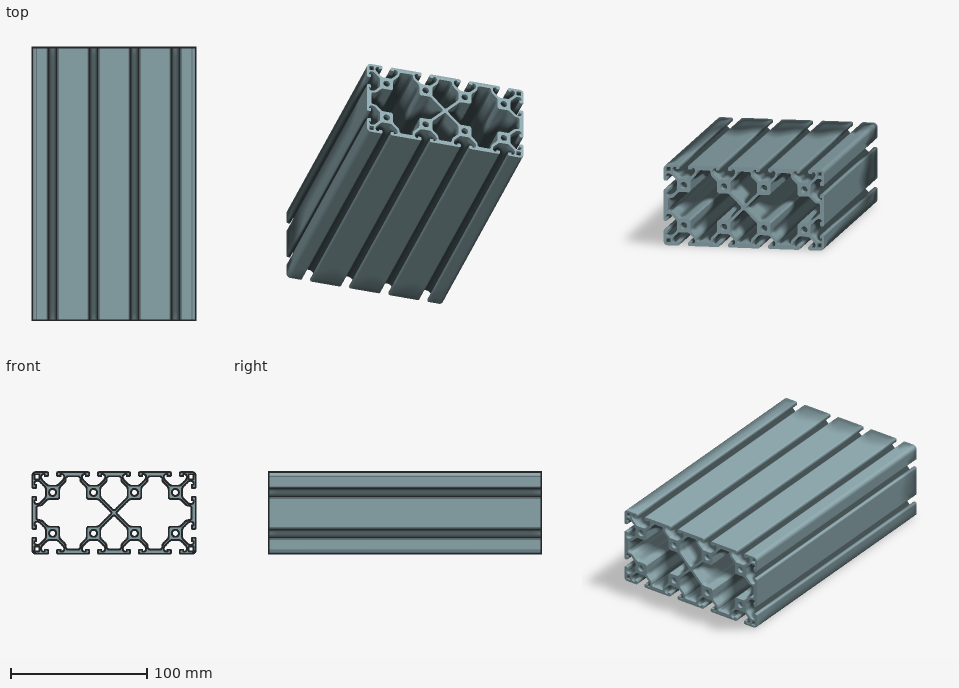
import cadquery as cq
import math

length = 200.0
module = 30.0
columns = 4
rows = 2
width = columns * module
height = rows * module
corner_radius = 3.0

core_size = 10.0
core_hole_diameter = 5.0
core_chamfer = 1.2
web_thickness = 2.0
node_radius = 1.5
web_root_radius = 3.0

slot_throat = 6.2
lip_top_radius = 1.2
lip_bottom_radius = 1.0
lip_thickness = 3.0
hook_span = 11.5
skin_thickness = 1.5
chamber_span = 17.0
chamber_depth = 3.5

bay_wall_thickness = 3.2
bay_half_width = 5.2
bay_chamfer = 1.0
bay_knee_radius = 4.0
tube_inset = 1.8

half_module = module / 2
half_core = core_size / 2
core_gap = module - core_size
half_gap = core_gap / 2
web_offset = web_thickness / math.sqrt(2)


def centres(count):
    """Module centres along one axis of the grid."""
    return [(i - (count - 1) / 2) * module for i in range(count)]


def joints(count):
    """Borders between neighbouring modules along one axis of the grid."""
    return [(i - count / 2) * module for i in range(1, count)]


def section():
    """Workplane of the profile; local axes are X and Z, extrusion runs along -Y."""
    return cq.Workplane("XZ", origin=(0, length / 2, 0))


def on_all_sides(cutter, positions_x, positions_z):
    """Copies of a cutter, modelled with the outer face at Z = 0, along all four sides."""
    sides = [
        (0, positions_x, height / 2),
        (90, positions_z, width / 2),
        (180, positions_x, height / 2),
        (270, positions_z, width / 2),
    ]
    return [
        cutter.translate((position, 0, reach)).rotate((0, 0, 0), (0, 1, 0), angle)
        for angle, positions, reach in sides
        for position in positions
    ]


def edges_at(points):
    """Selector for the lengthwise edges at the given (x, z) places."""
    reach = 0.2
    selector = None
    for x, z in points:
        low = (x - reach, -reach, z - reach)
        high = (x + reach, reach, z + reach)
        box = cq.selectors.BoxSelector(low, high)
        selector = box if selector is None else selector + box
    return selector


def slot_cutter():
    """T-slot between two hooked lips, narrowing along the webs down to the core."""
    core_depth = half_module - half_core
    core_x = half_core - web_offset
    throat_x = slot_throat / 2
    hook_x = hook_span / 2
    wall_x = chamber_span / 2
    upper_radius = chamber_depth - skin_thickness
    web_room = half_module - web_offset - wall_x - chamber_depth
    lower_radius = web_room / (math.sqrt(2) - 1)
    web_x = wall_x - lower_radius * (1 - 1 / math.sqrt(2))
    web_depth = chamber_depth + lower_radius / math.sqrt(2)

    half_slot = (
        section()
        .lineTo(throat_x + lip_top_radius, 0)
        .radiusArc((throat_x, -lip_top_radius), -lip_top_radius)
        .lineTo(throat_x, -lip_thickness + lip_bottom_radius)
        .radiusArc((throat_x + lip_bottom_radius, -lip_thickness), -lip_bottom_radius)
        .lineTo(hook_x, -lip_thickness)
        .lineTo(hook_x, -skin_thickness)
        .lineTo(wall_x - upper_radius, -skin_thickness)
        .radiusArc((wall_x, -chamber_depth), upper_radius)
        .radiusArc((web_x, -web_depth), lower_radius)
        .lineTo(core_x, -core_depth)
        .lineTo(0, -core_depth)
        .close()
        .extrude(length)
    )
    slot = half_slot.union(half_slot.mirror("YZ"))
    web_roots = [(core_x, -core_depth), (-core_x, -core_depth)]
    return slot.edges(edges_at(web_roots)).fillet(web_root_radius)


def bay_cutter():
    """Hollow behind the outer wall between two neighbouring slots."""
    bevel_depth = bay_wall_thickness + bay_chamfer
    web_start = bay_half_width + web_offset
    web_end = half_gap + web_offset
    right = [
        (bay_half_width - bay_chamfer, -bay_wall_thickness),
        (bay_half_width, -bevel_depth),
        (bay_half_width, -web_start),
        (half_gap, -web_end),
        (half_gap, -module),
    ]
    left = [(-x, z) for x, z in reversed(right)]
    bay = section().polyline(right + left).close().extrude(length)
    web_roots = [(half_gap, -web_end), (-half_gap, -web_end)]
    knees = [(bay_half_width, -web_start), (-bay_half_width, -web_start)]
    bay = bay.edges(edges_at(web_roots)).fillet(web_root_radius)
    return bay.edges(edges_at(knees)).fillet(bay_knee_radius)


def diagonal_web(angle):
    """Web through the centre of the profile, long enough to reach two cores."""
    reach = core_gap * math.sqrt(2) + half_core
    web = section().rect(reach, web_thickness).extrude(length)
    return web.rotate((0, 0, 0), (0, 1, 0), angle)


def inner_void():
    """Bays joined by a passage between the core rows, split by the crossing webs."""
    passage_width = width - module - core_size
    void = section().rect(passage_width, core_gap).extrude(length)
    for bay in on_all_sides(bay_cutter(), joints(columns), joints(rows)):
        void = void.union(bay)
    outer_joints = [x for x in joints(columns) if x != 0]
    core_corners = [
        (x + dx, z)
        for x in outer_joints
        for dx in (-half_gap, half_gap)
        for z in (-half_gap, half_gap)
    ]
    void = void.edges(edges_at(core_corners)).chamfer(core_chamfer)
    void = void.cut(diagonal_web(45)).cut(diagonal_web(-45))
    root = half_gap + web_offset
    web_roots = []
    for sx in (-1, 1):
        for sz in (-1, 1):
            web_roots.append((sx * root, sz * half_gap))
            web_roots.append((sx * half_gap, sz * root))
    void = void.edges(edges_at(web_roots)).fillet(web_root_radius)
    node_corners = [(web_offset, 0), (-web_offset, 0), (0, web_offset), (0, -web_offset)]
    return void.edges(edges_at(node_corners)).fillet(node_radius)


def corner_tubes():
    """Small square passages inside the four outer corners."""
    size = bay_half_width - tube_inset
    x = (width - size) / 2 - tube_inset
    z = (height - size) / 2 - tube_inset
    places = [(-x, -z), (-x, z), (x, -z), (x, z)]
    return section().pushPoints(places).rect(size, size).extrude(length)


core_places = [(x, z) for x in centres(columns) for z in centres(rows)]
core_holes = section().pushPoints(core_places).circle(core_hole_diameter / 2).extrude(length)

result = section().rect(width, height).extrude(length).edges("|Y").fillet(corner_radius)
for slot in on_all_sides(slot_cutter(), centres(columns), centres(rows)):
    result = result.cut(slot)
result = result.cut(inner_void()).cut(corner_tubes()).cut(core_holes)